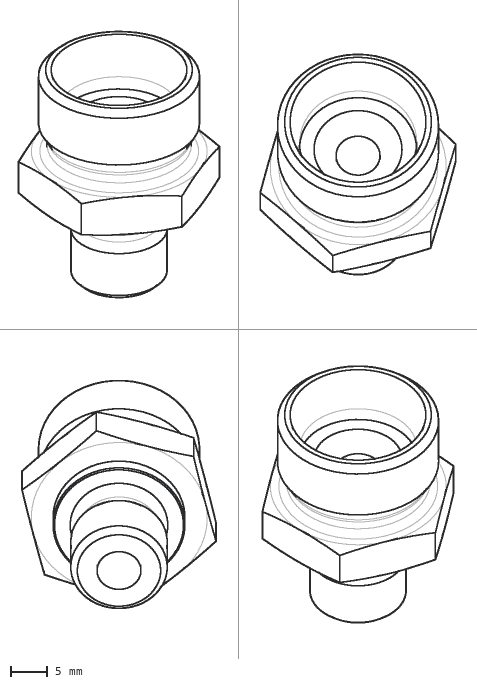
import cadquery as cq
import math

total_height = 33.0
bore_radius = 3.0

stub_radius = 6.585
stub_chamfer = 0.9
stub_top = 7.6
stub_groove_edge_radius = 5.75
stub_groove_low = 8.98
stub_groove_high = 10.0
stub_groove_round = 1.02
stub_shoulder_radius = 6.65

collar_radius = 9.0
collar_bottom = 12.0
collar_chamfer = 0.2

hex_flats = 24.02
hex_bottom = 14.0
hex_top = 20.0
hex_chamfer_angle = 16.0

neck_radius = 9.85
neck_fillet = 1.0
neck_round = 1.0
head_radius = 11.005
head_bottom = 24.52
head_chamfer = 1.0
head_undercut_angle = 30.0

seat_mouth_radius = 9.27
seat_radius = 8.002
seat_half_angle = 12.0
seat_depth = 8.0
funnel_radius = 6.0
funnel_half_angle = 59.0


def tan_deg(angle):
    return math.tan(math.radians(angle))


def revolve_profile(profile):
    """Turn a closed (radius, height) outline about the Z axis."""
    return profile.close().revolve(360, (0, 0, 0), (0, 1, 0))


def make_stub():
    """Small threaded end with its rounded groove and the collar under the hexagon."""
    groove_mid = (stub_groove_low + stub_groove_high) / 2
    half_chord = (stub_groove_high - stub_groove_low) / 2
    arc_depth = stub_groove_round - math.sqrt(stub_groove_round**2 - half_chord**2)
    profile = (
        cq.Workplane("XZ")
        .lineTo(stub_radius - stub_chamfer, 0)
        .lineTo(stub_radius, stub_chamfer)
        .lineTo(stub_radius, stub_top)
        .lineTo(stub_groove_edge_radius, stub_groove_low)
        .threePointArc(
            (stub_groove_edge_radius - arc_depth, groove_mid),
            (stub_groove_edge_radius, stub_groove_high),
        )
        .lineTo(stub_shoulder_radius, collar_bottom)
        .lineTo(collar_radius - collar_chamfer, collar_bottom)
        .lineTo(collar_radius, collar_bottom + collar_chamfer)
        .lineTo(collar_radius, hex_bottom)
        .lineTo(0, hex_bottom)
    )
    return revolve_profile(profile)


def make_hexagon():
    """Hexagon with corners along Y, its corners turned down by shallow cones at both ends."""
    corner_radius = hex_flats / math.sqrt(3)
    flat_radius = hex_flats / 2
    drop = (corner_radius - flat_radius) * tan_deg(hex_chamfer_angle)
    prism = (
        cq.Workplane("XY", origin=(0, 0, hex_bottom))
        .polygon(6, 2 * corner_radius)
        .extrude(hex_top - hex_bottom)
        .rotate((0, 0, 0), (0, 0, 1), 30)
    )
    envelope = (
        cq.Workplane("XZ")
        .moveTo(0, hex_bottom)
        .lineTo(flat_radius, hex_bottom)
        .lineTo(corner_radius, hex_bottom + drop)
        .lineTo(corner_radius, hex_top - drop)
        .lineTo(flat_radius, hex_top)
        .lineTo(0, hex_top)
    )
    return prism.intersect(revolve_profile(envelope))


def make_head():
    """Large threaded end standing on a neck that is filleted into the hexagon."""
    angle = math.radians(head_undercut_angle)
    cone_radius = neck_radius + neck_round * (1 - math.cos(angle))
    cone_bottom = head_bottom - (head_radius - cone_radius) / math.tan(angle)
    round_bottom = cone_bottom - neck_round * math.sin(angle)
    profile = (
        cq.Workplane("XZ")
        .moveTo(0, hex_top)
        .lineTo(neck_radius + neck_fillet, hex_top)
        .radiusArc((neck_radius, hex_top + neck_fillet), neck_fillet)
        .lineTo(neck_radius, round_bottom)
        .radiusArc((cone_radius, cone_bottom), neck_round)
        .lineTo(head_radius, head_bottom)
        .lineTo(head_radius, total_height - head_chamfer)
        .lineTo(head_radius - head_chamfer, total_height)
        .lineTo(0, total_height)
    )
    return revolve_profile(profile)


def make_cavity():
    """Through bore, funnel, tube socket and conical sealing seat."""
    socket_floor = total_height - seat_depth
    funnel_depth = (funnel_radius - bore_radius) / tan_deg(funnel_half_angle)
    seat_length = (seat_mouth_radius - seat_radius) / tan_deg(seat_half_angle)
    profile = (
        cq.Workplane("XZ")
        .lineTo(bore_radius, 0)
        .lineTo(bore_radius, socket_floor - funnel_depth)
        .lineTo(funnel_radius, socket_floor)
        .lineTo(seat_radius, socket_floor)
        .lineTo(seat_radius, total_height - seat_length)
        .lineTo(seat_mouth_radius, total_height)
        .lineTo(0, total_height)
    )
    return revolve_profile(profile)


result = make_stub().union(make_hexagon()).union(make_head()).cut(make_cavity())